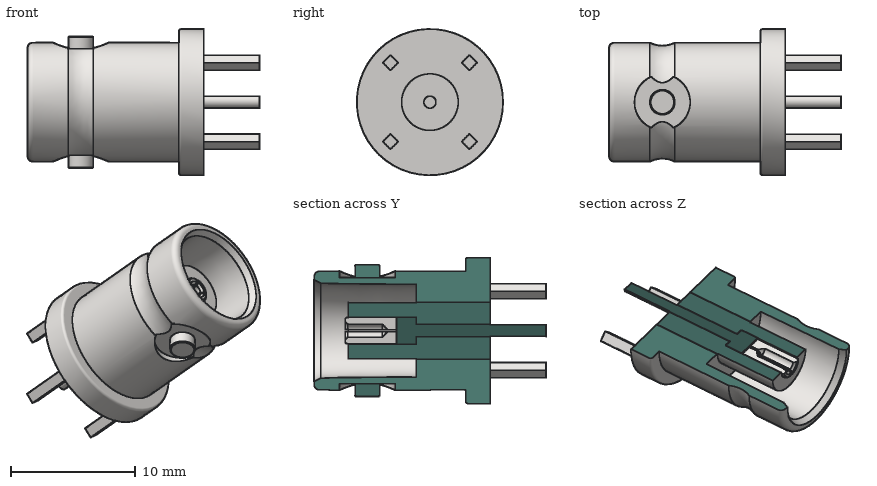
import cadquery as cq

body_radius = 4.8
flange_radius = 5.9
flange_start = 12.2
flange_end = 14.21
flange_edge_radius = 0.2
mouth_edge_radius = 0.45
total_length = 18.7

bore_mouth_radius = 4.1
bore_radius = 3.81
bore_floor_radius = 3.74
bore_bevel_length = 0.56
bore_depth = 8.23

stud_x = 4.3
groove_half_width = 1.01
groove_depth = 0.25
flat_radius = 2.25
flat_height = 4.28
stud_radius = 1.01
stud_top = 5.31
stud_chamfer = 0.07

leg_offset = 3.18
leg_half_diagonal = 0.62

insulator_radius = 2.28
insulator_front = 2.75

socket_radius = 1.075
socket_front = 2.52
socket_end = 8.23
socket_nose_chamfer = 0.11
socket_mouth_radius = 0.73
socket_throat_radius = 0.52
socket_throat_depth = 0.2
socket_bore_depth = 3.0
socket_drill_depth = 0.52
slot_width = 0.17
slot_depth = 4.11
tail_radius = 0.49


def turned(profile):
    """Revolve a closed (X, radius) profile around the X axis."""
    return profile.close().revolve(360, (0, 0, 0), (1, 0, 0))


def rod(radius, start, end):
    """Cylinder along the X axis between two X positions."""
    return cq.Workplane("YZ", origin=(start, 0, 0)).circle(radius).extrude(end - start)


def make_shell():
    """Solid body with the bayonet groove, the flange and their rounded front edges."""
    return turned(
        cq.Workplane("XY")
        .lineTo(0, body_radius - mouth_edge_radius)
        .radiusArc((mouth_edge_radius, body_radius), mouth_edge_radius)
        .lineTo(stud_x - groove_half_width, body_radius)
        .threePointArc((stud_x, body_radius - groove_depth), (stud_x + groove_half_width, body_radius))
        .lineTo(flange_start, body_radius)
        .lineTo(flange_start, flange_radius - flange_edge_radius)
        .radiusArc((flange_start + flange_edge_radius, flange_radius), flange_edge_radius)
        .lineTo(flange_end, flange_radius)
        .lineTo(flange_end, 0)
    )


def make_bore():
    """Bevelled mouth and slightly tapering bore."""
    return turned(
        cq.Workplane("XY")
        .moveTo(0, 0)
        .lineTo(0, bore_mouth_radius)
        .lineTo(bore_bevel_length, bore_radius)
        .lineTo(bore_depth, bore_floor_radius)
        .lineTo(bore_depth, 0)
    )


def make_stud_flats():
    """Round spot faces cut into opposite sides of the body."""
    cutter = (
        cq.Workplane("XY", origin=(stud_x, 0, flat_height))
        .circle(flat_radius)
        .extrude(body_radius - flat_height)
    )
    return cutter.union(cutter.mirror("XY"))


def make_legs():
    """Four legs on the corners of a square behind the flange."""
    return (
        cq.Workplane("YZ", origin=(flange_end, 0, 0))
        .rect(2 * leg_offset, 2 * leg_offset, forConstruction=True)
        .vertices()
        .polygon(4, 2 * leg_half_diagonal)
        .extrude(total_length - flange_end)
    )


def make_housing():
    """Shell with its bore, insulator hole, stud flats and legs."""
    return (
        make_shell()
        .cut(make_bore())
        .cut(rod(insulator_radius, 0, flange_end))
        .cut(make_stud_flats())
        .union(make_legs())
    )


def make_stud(side):
    """Bayonet stud standing on a flat; side is +1 for the top and -1 for the bottom."""
    stud = (
        cq.Workplane("XY", origin=(stud_x, 0, flat_height))
        .circle(stud_radius)
        .extrude(stud_top - flat_height)
        .faces(">Z")
        .chamfer(stud_chamfer)
    )
    return stud if side > 0 else stud.mirror("XY")


def make_insulator():
    """Sleeve around the contact, with a stepped hole that fits it."""
    return (
        rod(insulator_radius, insulator_front, flange_end)
        .cut(rod(socket_radius, insulator_front, socket_end))
        .cut(rod(tail_radius, socket_end, flange_end))
    )


def make_socket_bore():
    """Tapered entry, straight bore and pointed bottom."""
    bore_end = socket_front + socket_bore_depth
    return turned(
        cq.Workplane("XY")
        .moveTo(socket_front, 0)
        .lineTo(socket_front, socket_mouth_radius)
        .lineTo(socket_front + socket_throat_depth, socket_throat_radius)
        .lineTo(bore_end, socket_throat_radius)
        .lineTo(bore_end + socket_drill_depth, 0)
    )


def make_contact():
    """Cross-slotted socket with a round tail."""
    slot = cq.Workplane("XY").box(slot_depth, slot_width, 2 * socket_radius, centered=(False, True, True))
    slot = slot.translate((socket_front, 0, 0))
    return (
        rod(socket_radius, socket_front, socket_end)
        .faces("<X")
        .chamfer(socket_nose_chamfer)
        .union(rod(tail_radius, socket_end, total_length))
        .cut(make_socket_bore())
        .cut(slot)
        .cut(slot.rotate((0, 0, 0), (1, 0, 0), 90))
    )


housing = make_housing()
insulator = make_insulator()
contact = make_contact()
studs = [make_stud(side) for side in (1, -1)]

result = cq.Compound.makeCompound(
    [housing.val(), insulator.val(), contact.val(), *[stud.val() for stud in studs]]
)